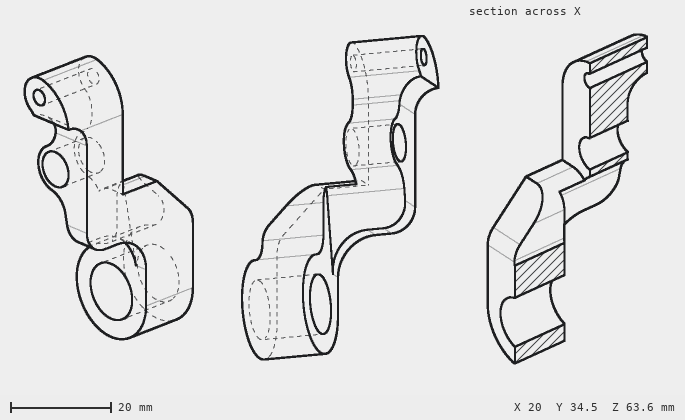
import cadquery as cq
import math


RING_RADIUS = 10.0
RING_BORE_RADIUS = 6.0
RING_DEPTH = 13.0
BLOCK_LEFT_X = 1.65
BLOCK_TOP_Z = 26.35
BLOCK_CHAMFER_START_Y = 3.0
SIDE_X = RING_RADIUS

PLATE_BACK_Y = -6.45
PLATE_THICKNESS = 10.0
HEAD_DEPTH = 15.0
PLATE_FRONT_Y = PLATE_BACK_Y - PLATE_THICKNESS
HEAD_FRONT_Y = PLATE_BACK_Y - HEAD_DEPTH
BOSS_CENTER = (1.0, 32.0)
BOSS_RADIUS = 5.0
BOSS_BORE_RADIUS = 3.75
HEAD_CENTER = (1.5, 49.36)
HEAD_RADIUS = 4.25
HEAD_HOLE_RADIUS = 1.65
HEAD_BACK_RADIUS = 10.0
HEAD_BOTTOM_Z = 45.0
NECK_X = 1.05

SLOPE_ANGLE = math.radians(12.0)
SLOPE_FOOT_X = 7.05

ARM_BOTTOM_Z = 15.9
ARM_FILLET = 8.0
FILLET = 5.0
SLOPE_FOOT_Z = ARM_BOTTOM_Z - ARM_FILLET


def toward(center, target, distance):
    """Point at a distance from center in the direction of target."""
    angle = math.atan2(target[1] - center[1], target[0] - center[0])
    return (center[0] + distance * math.cos(angle), center[1] + distance * math.sin(angle))


def arc_to(sketch, start, end, center):
    """Add the shorter arc about center, from start to end."""
    chord_middle = ((start[0] + end[0]) / 2, (start[1] + end[1]) / 2)
    middle = toward(center, chord_middle, math.dist(center, start))
    return sketch.threePointArc(middle, end)


def beside_circle(x, circle_center, distance):
    """Height above circle_center at which a point at x lies at the given distance from it."""
    return math.sqrt(distance**2 - (x - circle_center[0]) ** 2)


def extrude_xz(sketch, back_y, front_y):
    """Extrude a closed XZ outline between two Y positions."""
    return sketch.close().extrude(back_y - front_y).translate((0, back_y, 0))


def cylinder(center, radius, back_y, front_y):
    """Cylinder along Y between two Y positions."""
    circle = cq.Workplane("XZ").center(*center).circle(radius)
    return circle.extrude(back_y - front_y).translate((0, back_y, 0))


def block_body(back_y, front_y):
    """Ring outline rising to a flat top with a rounded upper left corner."""
    ring_center = (0.0, 0.0)
    fillet_x = BLOCK_LEFT_X - FILLET
    fillet_center = (fillet_x, beside_circle(fillet_x, ring_center, RING_RADIUS + FILLET))
    ring_tangent = toward(ring_center, fillet_center, RING_RADIUS)
    side_low = (BLOCK_LEFT_X, fillet_center[1])
    side_high = (BLOCK_LEFT_X, BLOCK_TOP_Z - FILLET)
    top_left = (BLOCK_LEFT_X + FILLET, BLOCK_TOP_Z)
    corner_center = (top_left[0], side_high[1])

    sketch = cq.Workplane("XZ").moveTo(SIDE_X, 0)
    sketch = sketch.threePointArc((0, -RING_RADIUS), ring_tangent)
    sketch = arc_to(sketch, ring_tangent, side_low, fillet_center)
    sketch = sketch.lineTo(*side_high)
    sketch = arc_to(sketch, side_high, top_left, corner_center)
    sketch = sketch.lineTo(SIDE_X, BLOCK_TOP_Z)
    return extrude_xz(sketch, back_y, front_y)


def ring_block():
    """Bored block with a 45 degree chamfer on its upper back edge, rounded at the lower end."""
    chamfer = RING_DEPTH - BLOCK_CHAMFER_START_Y
    round_reach = FILLET * math.tan(math.radians(45.0) / 2)
    chamfer_end_z = BLOCK_TOP_Z - chamfer
    round_center = (RING_DEPTH - FILLET, chamfer_end_z - round_reach)
    round_start = (RING_DEPTH, round_center[1])
    diagonal = FILLET * math.sqrt(0.5)
    round_end = (round_center[0] + diagonal, round_center[1] + diagonal)

    sketch = cq.Workplane("YZ").moveTo(*round_start)
    sketch = arc_to(sketch, round_start, round_end, round_center)
    sketch = sketch.lineTo(BLOCK_CHAMFER_START_Y, BLOCK_TOP_Z).lineTo(RING_DEPTH, BLOCK_TOP_Z)
    corner = sketch.close().extrude(SIDE_X)
    bore = cylinder((0, 0), RING_BORE_RADIUS, RING_DEPTH, 0)
    return block_body(RING_DEPTH, 0).cut(corner).cut(bore)


def plate_body(back_y, front_y):
    """Outline of sloping side, boss, neck and head, closed by the straight right side."""
    back_x = SIDE_X - HEAD_BACK_RADIUS
    back_drop = beside_circle(back_x, HEAD_CENTER, HEAD_BACK_RADIUS - HEAD_RADIUS)
    back_center = (back_x, HEAD_CENTER[1] - back_drop)
    back_start = (SIDE_X, back_center[1])
    head_start = toward(back_center, HEAD_CENTER, HEAD_BACK_RADIUS)

    neck_x = NECK_X - FILLET
    upper_drop = beside_circle(neck_x, HEAD_CENTER, HEAD_RADIUS + FILLET)
    upper_center = (neck_x, HEAD_CENTER[1] - upper_drop)
    lower_rise = beside_circle(neck_x, BOSS_CENTER, BOSS_RADIUS + FILLET)
    lower_center = (neck_x, BOSS_CENTER[1] + lower_rise)
    head_end = toward(HEAD_CENTER, upper_center, HEAD_RADIUS)
    neck_high = (NECK_X, upper_center[1])
    neck_low = (NECK_X, lower_center[1])
    boss_start = toward(BOSS_CENTER, lower_center, BOSS_RADIUS)

    sine = math.sin(SLOPE_ANGLE)
    cosine = math.cos(SLOPE_ANGLE)
    boss_x = BOSS_CENTER[0] - SLOPE_FOOT_X
    boss_z = BOSS_CENTER[1] - SLOPE_FOOT_Z
    boss_along = boss_z * cosine - boss_x * sine
    boss_left = -boss_x * cosine - boss_z * sine
    fillet_along = boss_along - math.sqrt((BOSS_RADIUS + FILLET) ** 2 - (FILLET - boss_left) ** 2)
    slope_top = (SLOPE_FOOT_X - fillet_along * sine, SLOPE_FOOT_Z + fillet_along * cosine)
    fillet_center = (slope_top[0] - FILLET * cosine, slope_top[1] - FILLET * sine)
    boss_end = toward(BOSS_CENTER, fillet_center, BOSS_RADIUS)

    sketch = cq.Workplane("XZ").moveTo(SIDE_X, SLOPE_FOOT_Z).lineTo(*back_start)
    sketch = arc_to(sketch, back_start, head_start, back_center)
    sketch = arc_to(sketch, head_start, head_end, HEAD_CENTER)
    sketch = arc_to(sketch, head_end, neck_high, upper_center)
    sketch = sketch.lineTo(*neck_low)
    sketch = arc_to(sketch, neck_low, boss_start, lower_center)
    sketch = arc_to(sketch, boss_start, boss_end, BOSS_CENTER)
    sketch = arc_to(sketch, boss_end, slope_top, fillet_center)
    sketch = sketch.lineTo(SLOPE_FOOT_X, SLOPE_FOOT_Z)
    return extrude_xz(sketch, back_y, front_y)


def front_relief():
    """Space in front of the plate below the head, rounded into the head's underside, and the
    space below the arm, with a rounded outer corner and a fillet into the ring block."""
    head_edge = (HEAD_FRONT_Y, HEAD_BOTTOM_Z)
    head_round_end = (PLATE_FRONT_Y, HEAD_BOTTOM_Z - FILLET)
    head_round_center = (PLATE_FRONT_Y - FILLET, HEAD_BOTTOM_Z - FILLET)
    corner_start = (PLATE_FRONT_Y, ARM_BOTTOM_Z + FILLET)
    corner_end = (PLATE_FRONT_Y + FILLET, ARM_BOTTOM_Z)
    corner_center = (corner_end[0], corner_start[1])
    arm_start = (-ARM_FILLET, ARM_BOTTOM_Z)
    arm_end = (0, SLOPE_FOOT_Z)
    arm_center = (-ARM_FILLET, SLOPE_FOOT_Z)

    sketch = cq.Workplane("YZ").moveTo(*head_edge)
    sketch = arc_to(sketch, head_edge, head_round_end, head_round_center)
    sketch = sketch.lineTo(*corner_start)
    sketch = arc_to(sketch, corner_start, corner_end, corner_center)
    sketch = sketch.lineTo(*arm_start)
    sketch = arc_to(sketch, arm_start, arm_end, arm_center)
    sketch = sketch.lineTo(HEAD_FRONT_Y, SLOPE_FOOT_Z)
    return sketch.close().extrude(2 * SIDE_X, both=True)


def upper_plate():
    """Plate with head and boss, with the arm that joins the plate to the ring block."""
    arm = plate_body(0, PLATE_BACK_Y).intersect(block_body(0, PLATE_BACK_Y))
    plate = plate_body(PLATE_BACK_Y, HEAD_FRONT_Y).union(arm).cut(front_relief())
    boss_bore = cylinder(BOSS_CENTER, BOSS_BORE_RADIUS, PLATE_BACK_Y, HEAD_FRONT_Y)
    head_hole = cylinder(HEAD_CENTER, HEAD_HOLE_RADIUS, PLATE_BACK_Y, HEAD_FRONT_Y)
    return plate.cut(boss_bore).cut(head_hole)


result = ring_block().union(upper_plate())